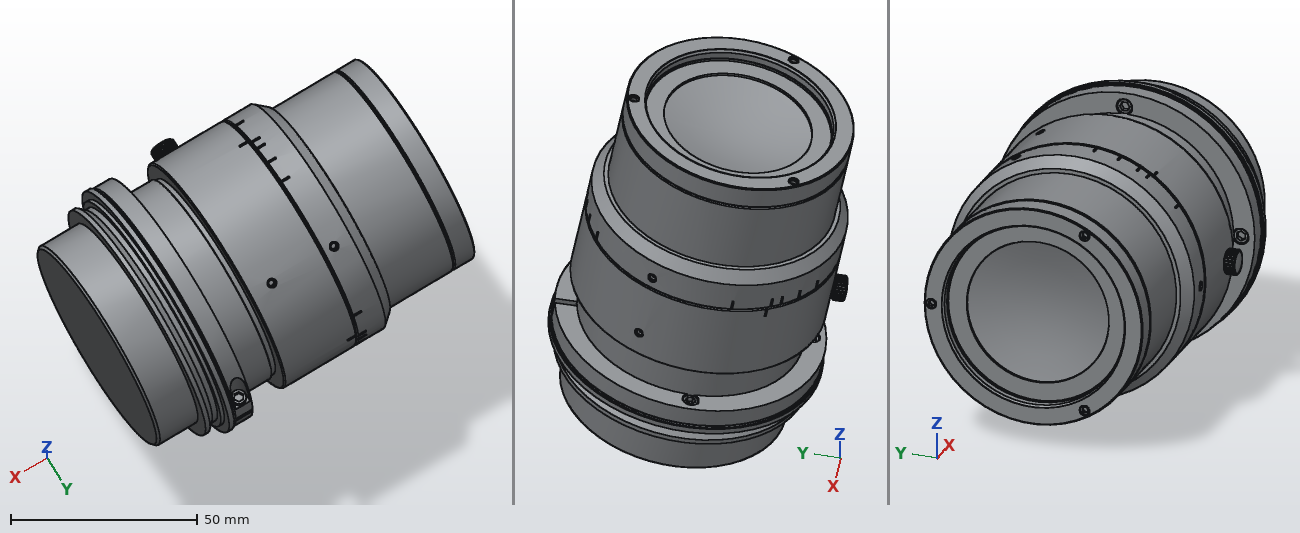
import cadquery as cq
import math


LENGTH = 100.1
FRONT_GROOVE_X = 6.6
HOUSING_FRONT_X = 27.5
HOUSING_CONE_END_X = 30.7
HOUSING_GROOVE_X = 39.6
HOUSING_END_X = 62.7
NECK_END_X = 64.3
FLANGE_X = 73.9
RIM_X = 80.0
RIM_END_X = 81.6
STEP_END_X = 82.7
VALLEY_END_X = 84.3
RIDGE_X = 86.1
RIDGE_END_X = 87.5

BARREL_R = 31.0
HOUSING_CONE_R = 32.2
HOUSING_R = 70.0 / 2
NECK_R = 30.4
FLANGE_R = 37.0
RIM_R = 75.0 / 2
VALLEY_R = 33.2
FRONT_CHAMFER = 0.3
REAR_CHAMFER = 0.7
HOUSING_CHAMFER = 0.4
V_GROOVE_WIDTH = 0.8
V_GROOVE_DEPTH = 0.3
FLANGE_END_X = RIM_X - V_GROOVE_WIDTH

RECESS_MOUTH_R = 52.2 / 2
RECESS_LIP = 0.2
RECESS_CHAMFER = 0.5
RECESS_CHAMFER_LENGTH = 0.7
GLASS_SEAT_X = 2.9
GLASS_SEAT_STEP = 0.2
RECESS_DEPTH = 3.6
GLASS_RIM_X = 4.3
GLASS_R = 40.4 / 2
GLASS_SAG = 3.5

FACE_HOLE_D = 2.8
FACE_HOLE_CIRCLE_R = 29.0
SET_HOLE_D = 2.5
SOCKET_D = 1.7
SET_HOLE_DEPTH = 0.5
SOCKET_DEPTH = 1.5
SET_HOLE_X = 36.0
THUMB_X = 55.7

FLANGE_MID_X = (FLANGE_X + FLANGE_END_X) / 2
COUNTERBORE_D = 4.5
COUNTERBORE_DEPTH = 2.5
SCREW_HEAD_D = 4.0
FLANGE_HEAD_HEIGHT = 2.2
CLAMP_HEAD_HEIGHT = 1.5
HEX_CORNERS_D = 2.8
HEX_DEPTH = 1.4
FLANGE_HOLE_CIRCLE_R = 33.0
SPLIT_WIDTH = 1.8
CLAMP_SCREW_Y = 34.1
CLAMP_SEAT_Z = 7.0

THUMB_NECK_D = 2.5
THUMB_HEAD_D = 7.0
THUMB_HEAD_START = 35.6
THUMB_HEAD_END = 38.8
THUMB_DOME_TOP = THUMB_HEAD_END + 0.35
THUMB_CHAMFER = 0.4
THUMB_ROOT = 33.0
FLUTE_COUNT = 24
FLUTE_D = 0.5

SCALE_ANGLES = (7.1, 18.7, 28.5, 33.7, 52.2)
INDEX_ANGLE = 35.4
TICK_LENGTH = 2.5
TICK_WIDTH = 0.4
TICK_DEPTH = 0.2
REPEATS = (0, 120, 240)


def v_groove(profile, x, radius):
    """Add a small V groove centred at x to a profile running along +X."""
    half = V_GROOVE_WIDTH / 2
    return (
        profile.lineTo(x - half, radius)
        .lineTo(x, radius - V_GROOVE_DEPTH)
        .lineTo(x + half, radius)
    )


def around_x(shape, angle):
    """Turn a shape about the optical axis, from +Z towards -Y."""
    return shape.rotate((0, 0, 0), (1, 0, 0), angle)


def make_body():
    wall_r = RECESS_MOUTH_R - RECESS_CHAMFER
    sphere_r = (GLASS_R**2 + GLASS_SAG**2) / (2 * GLASS_SAG)
    half_angle = math.asin(GLASS_R / sphere_r) / 2
    arc_mid_r = sphere_r * math.sin(half_angle)
    arc_mid_x = GLASS_RIM_X + GLASS_SAG - sphere_r * (1 - math.cos(half_angle))

    profile = (
        cq.Workplane("XY")
        .moveTo(GLASS_RIM_X + GLASS_SAG, 0)
        .threePointArc((arc_mid_x, arc_mid_r), (GLASS_RIM_X, GLASS_R))
        .lineTo(RECESS_DEPTH, GLASS_R)
        .lineTo(RECESS_DEPTH, wall_r - GLASS_SEAT_STEP)
        .lineTo(GLASS_SEAT_X, wall_r - GLASS_SEAT_STEP)
        .lineTo(GLASS_SEAT_X, wall_r)
        .lineTo(RECESS_LIP + RECESS_CHAMFER_LENGTH, wall_r)
        .lineTo(RECESS_LIP, RECESS_MOUTH_R)
        .lineTo(0, RECESS_MOUTH_R)
        .lineTo(0, BARREL_R - FRONT_CHAMFER)
        .lineTo(FRONT_CHAMFER, BARREL_R)
    )
    profile = v_groove(profile, FRONT_GROOVE_X, BARREL_R)
    profile = (
        profile.lineTo(HOUSING_FRONT_X, BARREL_R)
        .lineTo(HOUSING_FRONT_X, HOUSING_CONE_R)
        .lineTo(HOUSING_CONE_END_X, HOUSING_R)
    )
    profile = v_groove(profile, HOUSING_GROOVE_X, HOUSING_R)
    profile = (
        profile.lineTo(HOUSING_END_X - HOUSING_CHAMFER, HOUSING_R)
        .lineTo(HOUSING_END_X, HOUSING_R - HOUSING_CHAMFER)
        .lineTo(HOUSING_END_X, NECK_R)
        .lineTo(NECK_END_X, NECK_R)
        .lineTo(NECK_END_X, BARREL_R)
        .lineTo(FLANGE_X, BARREL_R)
        .lineTo(FLANGE_X, FLANGE_R)
    )
    profile = v_groove(profile, RIM_X - V_GROOVE_WIDTH / 2, FLANGE_R)
    profile = (
        profile.lineTo(RIM_X, RIM_R)
        .lineTo(RIM_END_X, RIM_R)
        .lineTo(RIM_END_X, HOUSING_R)
        .lineTo(STEP_END_X, HOUSING_R)
        .lineTo(STEP_END_X, VALLEY_R)
        .lineTo(VALLEY_END_X, VALLEY_R)
        .lineTo(RIDGE_X, HOUSING_R)
        .lineTo(RIDGE_END_X, HOUSING_R)
        .lineTo(RIDGE_END_X, BARREL_R)
        .lineTo(LENGTH - REAR_CHAMFER, BARREL_R)
        .lineTo(LENGTH, BARREL_R - REAR_CHAMFER)
        .lineTo(LENGTH, 0)
        .close()
    )
    return profile.revolve(360, (0, 0, 0), (1, 0, 0))


def face_set_hole():
    """Stepped set-screw hole cutter entering the front face, placed above the axis."""
    plane = cq.Workplane("YZ", origin=(0, 0, FACE_HOLE_CIRCLE_R))
    outer = plane.circle(FACE_HOLE_D / 2).extrude(SET_HOLE_DEPTH)
    return outer.union(plane.circle(SOCKET_D / 2).extrude(SOCKET_DEPTH))


def radial_set_hole(x):
    """Stepped set-screw hole cutter entering the housing from +Z."""
    outer = (
        cq.Workplane("XY", origin=(x, 0, HOUSING_R - SET_HOLE_DEPTH))
        .circle(SET_HOLE_D / 2)
        .extrude(2 * SET_HOLE_DEPTH)
    )
    inner = (
        cq.Workplane("XY", origin=(x, 0, HOUSING_R - SOCKET_DEPTH))
        .circle(SOCKET_D / 2)
        .extrude(SOCKET_DEPTH)
    )
    return outer.union(inner)


def cut_screw_holes(body):
    for turn in REPEATS:
        body = body.cut(around_x(face_set_hole(), turn - 90))
        body = body.cut(around_x(radial_set_hole(SET_HOLE_X), turn + 90))
    for turn in REPEATS[1:]:
        body = body.cut(around_x(radial_set_hole(THUMB_X), turn + 90))
    return body


def screw_head(seat, height):
    """Socket head standing on a seat workplane, with a hexagon socket."""
    head = seat.circle(SCREW_HEAD_D / 2).extrude(height)
    socket = (
        seat.workplane(offset=height - HEX_DEPTH)
        .polygon(6, HEX_CORNERS_D)
        .extrude(HEX_DEPTH)
    )
    return head.cut(socket)


def add_flange_screws(body):
    seat = cq.Workplane(
        cq.Plane((FLANGE_X + COUNTERBORE_DEPTH, 0, FLANGE_HOLE_CIRCLE_R), (0, 1, 0), (-1, 0, 0))
    )
    barrel = cq.Workplane("YZ").circle(BARREL_R).extrude(LENGTH)
    bore = seat.circle(COUNTERBORE_D / 2).extrude(COUNTERBORE_DEPTH).cut(barrel)
    for turn in (0, 90, 180):
        body = body.cut(around_x(bore, turn))
        body = body.union(around_x(screw_head(seat, FLANGE_HEAD_HEIGHT), turn))
    return body


def add_clamp(body):
    flange_width = FLANGE_END_X - FLANGE_X
    split = cq.Workplane("XY").box(
        flange_width, FLANGE_R - BARREL_R, SPLIT_WIDTH, centered=(False, False, True)
    )
    body = body.cut(split.translate((FLANGE_X, BARREL_R, 0)))

    seat = cq.Workplane("XY", origin=(FLANGE_MID_X, CLAMP_SCREW_Y, CLAMP_SEAT_Z))
    opening_length = FLANGE_R - CLAMP_SCREW_Y
    pocket = seat.circle(COUNTERBORE_D / 2).extrude(FLANGE_R)
    opening = (
        seat.center(0, opening_length / 2)
        .rect(COUNTERBORE_D, opening_length)
        .extrude(FLANGE_R)
    )
    body = body.cut(pocket).cut(opening)
    return body.union(screw_head(seat, CLAMP_HEAD_HEIGHT))


def cut_tick(body, start_x, angle):
    tick = cq.Workplane("XY").box(
        TICK_LENGTH, TICK_WIDTH, 2 * TICK_DEPTH, centered=(False, True, True)
    )
    return body.cut(around_x(tick.translate((start_x, 0, HOUSING_R)), angle))


def cut_scale(body):
    half_groove = V_GROOVE_WIDTH / 2
    for turn in REPEATS:
        for angle in SCALE_ANGLES:
            body = cut_tick(body, HOUSING_GROOVE_X - half_groove - TICK_LENGTH, turn + angle)
        body = cut_tick(body, HOUSING_GROOVE_X + half_groove, turn + INDEX_ANGLE)
    return body


def make_thumb_screw():
    """Fluted thumb screw standing on the -Y side."""
    head_r = THUMB_HEAD_D / 2
    dome_r = head_r - THUMB_CHAMFER
    dome_height = THUMB_DOME_TOP - THUMB_HEAD_END
    dome_sphere_r = (dome_r**2 + dome_height**2) / (2 * dome_height)
    dome_half_angle = math.asin(dome_r / dome_sphere_r) / 2
    dome_mid_r = dome_sphere_r * math.sin(dome_half_angle)
    dome_mid_y = THUMB_DOME_TOP - dome_sphere_r * (1 - math.cos(dome_half_angle))
    screw = (
        cq.Workplane("XY")
        .moveTo(0, -THUMB_ROOT)
        .lineTo(THUMB_NECK_D / 2, -THUMB_ROOT)
        .lineTo(THUMB_NECK_D / 2, -THUMB_HEAD_START)
        .lineTo(dome_r, -THUMB_HEAD_START)
        .lineTo(head_r, -THUMB_HEAD_START - THUMB_CHAMFER)
        .lineTo(head_r, -THUMB_HEAD_END + THUMB_CHAMFER)
        .lineTo(dome_r, -THUMB_HEAD_END)
        .threePointArc((dome_mid_r, -dome_mid_y), (0, -THUMB_DOME_TOP))
        .close()
        .revolve(360, (0, 0, 0), (0, 1, 0))
    )
    flutes = (
        cq.Workplane("XZ", origin=(0, -THUMB_HEAD_START, 0))
        .polarArray(head_r, 0, 360, FLUTE_COUNT)
        .circle(FLUTE_D / 2)
        .extrude(THUMB_HEAD_END - THUMB_HEAD_START)
    )
    return screw.cut(flutes).translate((THUMB_X, 0, 0))


body = make_body()
body = cut_screw_holes(body)
body = add_flange_screws(body)
body = add_clamp(body)
body = cut_scale(body)
result = body.union(make_thumb_screw())